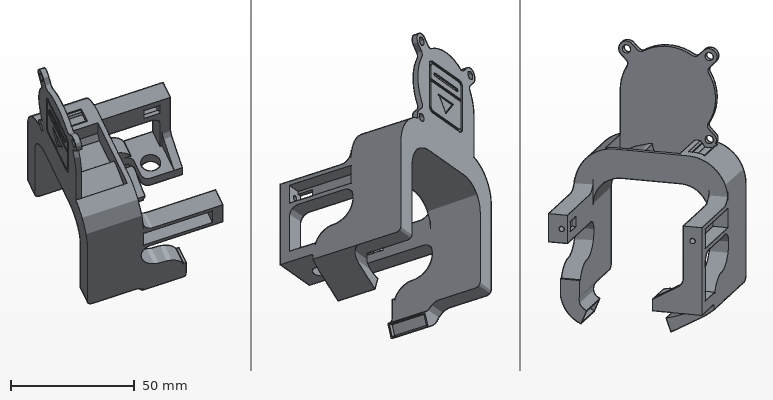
import cadquery as cq
import math

width = 65.0
depth = 58.95
leg_thickness = 8.0
outer_half = width / 2
inner_half = outer_half - leg_thickness

saddle_depth = 24.3
saddle_top = 58.05
saddle_outer_radius = 17.0
saddle_ceiling = 45.95
saddle_inner_radius = 12.0
leg_depth = 43.0
leg_joint_z = 31.35
leg_front_fillet = 2.35

arm_bottom = 2.35
arm_top = 39.35
arm_fillet = 5.0
arm_notch_fillet = 0.8
arm_end_wall = 4.55
arm_inner_end = depth - arm_end_wall

opening_top = 27.4
opening_fillet = 4.3
swell_radius = 9.5
swell_y = 32.9
swell_top = 13.0
swell_end_y = 41.85

recess_bottom = 29.3
recess_top = 37.45
recess_depth = 6.3
window_length = 6.95
left_window_height = 5.5
right_window_height = 4.2
wire_hole_diameter = 2.2
left_wire_hole_x = -28.5
right_wire_hole_x = 26.9

shelf_thickness = 4.85
shelf_top = arm_bottom + shelf_thickness
shelf_width = 13.05
shelf_front = 42.0
shelf_right = shelf_width - inner_half
shelf_fillet = 3.0
shelf_hole_diameter = 8.0
shelf_hole_x = -18.5
shelf_hole_y = 47.9
gusset_thickness = 3.6
gusset_top = 16.6
gusset_blend_end = (-inner_half + 2.5, 13.25)
gusset_blend_mid = (-inner_half + 0.8, 14.85)

hook_bottom = -11.0
hook_front = 25.0
hook_fillet = 4.75
hook_tip_z = -5.25
tip_border = 0.6
tip_pocket_depth = 2.2
left_hook_bend_mid = (-29.6, -2.2)
left_hook_bend_end = (-25.4, -4.75)
left_tip_outer = (-14.3, hook_bottom)
left_tip_inner = (-12.2, hook_tip_z)
left_hook_inner_mid = (-19.3, -2.9)
right_hook_outer_mid = (30.6, -5.2)
right_tip_outer = (23.8, hook_bottom)
right_tip_inner = (21.4, hook_tip_z)
right_hook_inner_mid = (23.8, -3.3)

plate_thickness = 2.4
plate_x = -0.15
plate_z = 76.25
plate_radius = 20.2
ear_offset = 17.5
ear_radius = 3.35
lower_ear_radius = 3.05
ear_hole_diameter = 3.4
ear_fillet = 2.0
lower_ear_fillet = 1.9
skirt_left = plate_x - 14.0

ears = [(-1, 1), (1, 1), (-1, -1)]

engraving_depth = 0.6
frame_size = 23.6
frame_line = 1.0
frame_radius = 2.2
frame_z = plate_z - 0.05
divider_z = frame_z + 2.9
bar_length = 17.0
bar_width = 1.4
bar_z = frame_z + 6.55
triangle_width = 10.5
triangle_height = 6.5
triangle_top = frame_z - 1.3

duct_left = -11.6
duct_right = plate_x + plate_radius
duct_back = 22.2
duct_floor = 47.7
duct_step = 1.7
duct_step_height = 3.0
duct_curve_start = -0.8
duct_curve_radius = 7.1
duct_crest_end = 7.6
duct_slope_start = 13.8
duct_slope_start_z = 53.0
duct_right_z = 50.0

slot_left = -21.1
slot_right = -14.05
slot_floor_left = -19.3
slot_floor_right = -15.8
slot_floor = 55.4
slot_left_shoulder = -20.0
slot_shoulder_z = 56.3
slot_ledge_left = -14.9
slot_ledge_right = -14.5
slot_ledge_z = 57.0
slot_back = 18.6


def box(x0, x1, y0, y1, z0, z1):
    """Axis-aligned block between two opposite corners."""
    return cq.Workplane("XY").box(x1 - x0, y1 - y0, z1 - z0, centered=False).translate((x0, y0, z0))


def front_sketch(y):
    """XZ workplane at the given Y; its normal points to -Y."""
    return cq.Workplane(cq.Plane((0, y, 0), (1, 0, 0), (0, -1, 0)))


def along_y(profile, length):
    """Extrude an XZ profile toward +Y."""
    return profile.extrude(-length)


def side_sketch(x):
    """YZ workplane at the given X; a positive extrusion goes toward +X."""
    return cq.Workplane("YZ", origin=(x, 0, 0))


def make_saddle():
    outer = box(-outer_half, outer_half, 0, saddle_depth, 0, saddle_top)
    outer = outer.edges("|Y and >Z").fillet(saddle_outer_radius)
    inner = box(-inner_half, inner_half, 0, saddle_depth, 0, saddle_ceiling)
    inner = inner.edges("|Y and >Z").fillet(saddle_inner_radius)
    return outer.cut(inner)


def make_leg(x0):
    """One leg with its arm, as a flat side panel."""
    fillet_z = arm_top + arm_fillet
    fillet_y = saddle_depth + arm_fillet
    fillet_mid = arm_fillet * (1 - math.sqrt(0.5))
    panel = (
        side_sketch(x0)
        .moveTo(saddle_depth, leg_joint_z)
        .lineTo(saddle_depth, fillet_z)
        .threePointArc((saddle_depth + fillet_mid, arm_top + fillet_mid), (fillet_y, arm_top))
        .lineTo(depth, arm_top)
        .lineTo(depth, arm_bottom)
        .lineTo(leg_depth, arm_bottom)
        .lineTo(leg_depth, 0)
        .lineTo(0, 0)
        .lineTo(0, leg_joint_z)
        .close()
        .extrude(leg_thickness)
    )
    reach = 0.1
    notch = cq.selectors.BoxSelector(
        (x0 - reach, leg_depth - reach, arm_bottom - reach),
        (x0 + leg_thickness + reach, leg_depth + reach, arm_bottom + reach),
    )
    panel = panel.edges(notch).fillet(arm_notch_fillet)
    return panel.edges("|X and <Y and <Z").fillet(leg_front_fillet)


def make_opening(x0):
    """Cutter for the opening below an arm."""
    front = swell_y - swell_radius
    hollow_z = swell_top + swell_radius
    swell_z = swell_top - swell_radius
    diagonal = swell_radius * math.sqrt(0.5)
    corner = opening_fillet * (1 - math.sqrt(0.5))
    end_angle = math.acos((swell_end_y - swell_y) / swell_radius)
    middle_angle = (end_angle + math.pi / 2) / 2
    end_z = swell_z + swell_radius * math.sin(end_angle)
    middle = (
        swell_y + swell_radius * math.cos(middle_angle),
        swell_z + swell_radius * math.sin(middle_angle),
    )
    return (
        side_sketch(x0)
        .moveTo(arm_inner_end, shelf_top)
        .lineTo(arm_inner_end, opening_top - opening_fillet)
        .threePointArc(
            (arm_inner_end - corner, opening_top - corner),
            (arm_inner_end - opening_fillet, opening_top),
        )
        .lineTo(front + opening_fillet, opening_top)
        .threePointArc((front + corner, opening_top - corner), (front, opening_top - opening_fillet))
        .lineTo(front, hollow_z)
        .threePointArc((swell_y - diagonal, hollow_z - diagonal), (swell_y, swell_top))
        .threePointArc(middle, (swell_end_y, end_z))
        .lineTo(swell_end_y, shelf_top)
        .close()
        .extrude(leg_thickness)
    )


def cut_recess(body, side, window_height, wire_hole_x):
    """Cut the sensor recess, its window and its wire hole; side is -1 on the left, 1 on the right."""
    recess_x = sorted((side * outer_half, side * (outer_half - recess_depth)))
    leg_x = sorted((side * outer_half, side * inner_half))
    middle_z = (recess_bottom + recess_top) / 2
    window_z = (middle_z - window_height / 2, middle_z + window_height / 2)
    body = body.cut(box(*recess_x, saddle_depth, arm_inner_end, recess_bottom, recess_top))
    body = body.cut(box(*leg_x, arm_inner_end - window_length, arm_inner_end, *window_z))
    hole = front_sketch(arm_inner_end).center(wire_hole_x, middle_z).circle(wire_hole_diameter / 2)
    return body.cut(along_y(hole, arm_end_wall))


def make_shelf():
    """Shelf with a rounded corner, a blend into the leg and a sloped gusset at the back."""
    shelf = box(-inner_half, shelf_right, shelf_front, depth, arm_bottom, shelf_top)
    shelf = shelf.edges("|Z and >X and <Y").fillet(shelf_fillet)
    blend_mid = shelf_fillet * (1 - math.sqrt(0.5))
    blend = (
        cq.Workplane("XY", origin=(0, 0, arm_bottom))
        .moveTo(-inner_half, shelf_front)
        .lineTo(-inner_half, shelf_front - shelf_fillet)
        .threePointArc(
            (-inner_half + blend_mid, shelf_front - blend_mid),
            (-inner_half + shelf_fillet, shelf_front),
        )
        .close()
        .extrude(shelf_thickness)
    )
    gusset = along_y(
        front_sketch(depth - gusset_thickness)
        .moveTo(-inner_half, shelf_top)
        .lineTo(-inner_half, gusset_top)
        .threePointArc(gusset_blend_mid, gusset_blend_end)
        .lineTo(shelf_right, shelf_top)
        .close(),
        gusset_thickness,
    )
    hole = (
        cq.Workplane("XY", origin=(shelf_hole_x, shelf_hole_y, arm_bottom))
        .circle(shelf_hole_diameter / 2)
        .extrude(shelf_thickness)
    )
    return shelf.union(blend).union(gusset).cut(hole)


def left_hook_profile():
    return (
        front_sketch(0)
        .moveTo(-outer_half, 0)
        .threePointArc(left_hook_bend_mid, left_hook_bend_end)
        .lineTo(*left_tip_outer)
        .lineTo(*left_tip_inner)
        .threePointArc(left_hook_inner_mid, (-inner_half, 0))
        .close()
    )


def right_hook_profile():
    return (
        front_sketch(0)
        .moveTo(outer_half, 0)
        .threePointArc(right_hook_outer_mid, right_tip_outer)
        .lineTo(*right_tip_inner)
        .threePointArc(right_hook_inner_mid, (inner_half, 0))
        .close()
    )


def make_tip_pocket():
    """Pocket in the slanted tip face of the right hook, inside a thin border."""
    run_x = right_tip_outer[0] - right_tip_inner[0]
    run_z = right_tip_outer[1] - right_tip_inner[1]
    tip_length = math.hypot(run_x, run_z)
    tilt = math.degrees(math.atan2(run_x, -run_z))
    pocket = box(
        0,
        tip_pocket_depth,
        hook_front + tip_border,
        leg_depth - tip_border,
        tip_border - tip_length,
        -tip_border,
    )
    pocket = pocket.rotate((0, 0, 0), (0, 1, 0), -tilt)
    return pocket.translate((right_tip_inner[0], 0, right_tip_inner[1]))


def make_hooks():
    """Both hooks, with the concave blend that joins their front to the leg bottoms."""
    blend_start = hook_front - hook_fillet
    diagonal = hook_fillet * math.sqrt(0.5)
    side = (
        side_sketch(-outer_half)
        .moveTo(blend_start, 0)
        .threePointArc(
            (blend_start + diagonal, -hook_fillet + diagonal),
            (hook_front, -hook_fillet),
        )
        .lineTo(hook_front, hook_bottom)
        .lineTo(leg_depth, hook_bottom)
        .lineTo(leg_depth, 0)
        .close()
        .extrude(width)
    )
    left = along_y(left_hook_profile(), leg_depth)
    right = along_y(right_hook_profile(), leg_depth)
    right = right.cut(make_tip_pocket())
    return left.intersect(side).union(right.intersect(side))


def ear_size(side_z):
    """Ear radius, which is also half its neck's width, and the fillet where the neck meets the disc."""
    if side_z > 0:
        return ear_radius, ear_fillet
    return lower_ear_radius, lower_ear_fillet


def ear_neck(side_x, side_z):
    """Straight neck from the plate centre to an ear."""
    length = ear_offset * math.sqrt(2)
    half_width, _ = ear_size(side_z)
    neck = box(0, length, 0, plate_thickness, -half_width, half_width)
    angle = math.degrees(math.atan2(side_z, side_x))
    neck = neck.rotate((0, 0, 0), (0, 1, 0), -angle)
    return neck.translate((plate_x, 0, plate_z))


def near_corner(angle):
    """Selector for the plate edge where a neck side meets the disc, at an angle from +X."""
    reach = 0.3
    x = plate_x + plate_radius * math.cos(angle)
    z = plate_z + plate_radius * math.sin(angle)
    return cq.selectors.BoxSelector(
        (x - reach, -reach, z - reach),
        (x + reach, plate_thickness + reach, z + reach),
    )


def make_plate():
    """Fan plate: a disc with three eared necks and a straight right side down to the saddle."""
    plate = along_y(front_sketch(0).center(plate_x, plate_z).circle(plate_radius), plate_thickness)
    for side_x, side_z in ears:
        plate = plate.union(ear_neck(side_x, side_z))
    for side_x, side_z in ears:
        half_width, fillet = ear_size(side_z)
        middle = math.atan2(side_z, side_x)
        half_angle = math.asin(half_width / plate_radius)
        for angle in (middle - half_angle, middle + half_angle):
            plate = plate.edges(near_corner(angle)).fillet(fillet)
    plate = plate.union(
        box(skirt_left, plate_x + plate_radius, 0, plate_thickness, saddle_ceiling, plate_z)
    )
    for side_x, side_z in ears:
        radius, _ = ear_size(side_z)
        plate = plate.union(along_y(ear_sketch(side_x, side_z).circle(radius), plate_thickness))
    return plate


def ear_sketch(side_x, side_z):
    """Front workplane centred on an ear."""
    return front_sketch(0).center(plate_x + side_x * ear_offset, plate_z + side_z * ear_offset)


def cut_ear_holes(body):
    for side_x, side_z in ears:
        hole = ear_sketch(side_x, side_z).circle(ear_hole_diameter / 2)
        body = body.cut(along_y(hole, plate_thickness))
    return body


def make_engraving():
    """Grooves in the plate front: a divided rounded frame, a bar and a triangle."""
    half = frame_size / 2
    inner = half - frame_line
    frame = box(plate_x - half, plate_x + half, 0, engraving_depth, frame_z - half, frame_z + half)
    frame = frame.edges("|Y").fillet(frame_radius)
    panel = box(plate_x - inner, plate_x + inner, 0, engraving_depth, frame_z - inner, frame_z + inner)
    panel = panel.edges("|Y").fillet(frame_radius - frame_line / 2)
    divider = box(
        plate_x - inner,
        plate_x + inner,
        0,
        engraving_depth,
        divider_z - frame_line / 2,
        divider_z + frame_line / 2,
    )
    bar = along_y(front_sketch(0).center(plate_x, bar_z).slot2D(bar_length, bar_width), engraving_depth)
    triangle = along_y(
        front_sketch(0)
        .moveTo(plate_x - triangle_width / 2, triangle_top)
        .lineTo(plate_x + triangle_width / 2, triangle_top)
        .lineTo(plate_x, triangle_top - triangle_height)
        .close(),
        engraving_depth,
    )
    return frame.cut(panel).union(divider).union(bar).union(triangle)


def make_duct():
    """Pocket behind the plate whose floor rises to a crest and falls away to the right."""
    curve_end = duct_curve_start + duct_curve_radius
    diagonal = duct_curve_radius * math.sqrt(0.5)
    crest_z = duct_floor + duct_curve_radius
    return along_y(
        front_sketch(plate_thickness)
        .moveTo(duct_left, saddle_top)
        .lineTo(duct_left, duct_floor + duct_step_height)
        .lineTo(duct_left + duct_step, duct_floor)
        .lineTo(duct_curve_start, duct_floor)
        .threePointArc(
            (duct_curve_start + diagonal, crest_z - diagonal),
            (curve_end, crest_z),
        )
        .lineTo(duct_crest_end, crest_z)
        .lineTo(duct_slope_start, duct_slope_start_z)
        .lineTo(duct_right, duct_right_z)
        .lineTo(duct_right, saddle_top)
        .close(),
        duct_back - plate_thickness,
    )


def make_slot():
    """Narrow pocket left of the duct, with stepped left and right walls."""
    return along_y(
        front_sketch(plate_thickness)
        .moveTo(slot_left, saddle_top)
        .lineTo(slot_left, slot_shoulder_z)
        .lineTo(slot_left_shoulder, slot_shoulder_z)
        .lineTo(slot_floor_left, slot_floor)
        .lineTo(slot_floor_right, slot_floor)
        .lineTo(slot_ledge_left, slot_ledge_z)
        .lineTo(slot_ledge_right, slot_ledge_z)
        .lineTo(slot_right, saddle_top)
        .close(),
        slot_back - plate_thickness,
    )


left_leg_x = -outer_half
right_leg_x = inner_half

left_leg = make_leg(left_leg_x).cut(make_opening(left_leg_x))
right_leg = make_leg(right_leg_x).cut(make_opening(right_leg_x))
right_leg = right_leg.cut(box(right_leg_x, outer_half, leg_depth, depth, 0, opening_top))

saddle = make_saddle().intersect(
    box(-outer_half, outer_half, 0, saddle_depth, leg_joint_z, saddle_top)
)
saddle = saddle.cut(make_duct()).cut(make_slot())

result = saddle.union(left_leg).union(right_leg).union(make_shelf()).union(make_hooks())
result = result.union(make_plate())
result = cut_recess(result, -1, left_window_height, left_wire_hole_x)
result = cut_recess(result, 1, right_window_height, right_wire_hole_x)
result = cut_ear_holes(result).cut(make_engraving())